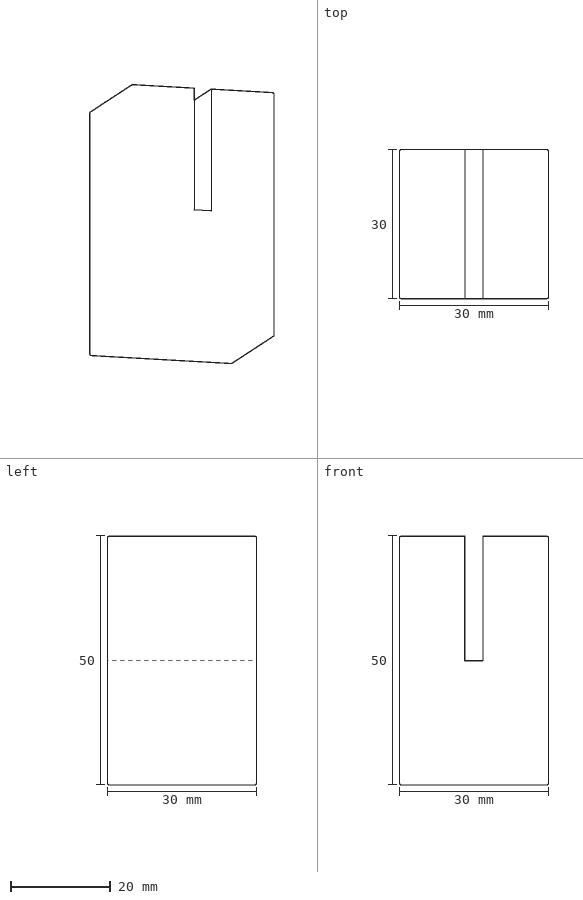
import cadquery as cq

width = 30.0
depth = 30.0
height = 50.0
edge_radius = 0.4

slot_width = 3.6
slot_depth = height / 2


def rounded_block():
    """Block standing on Z = 0, centred in X and Y, with every edge rounded."""
    block = cq.Workplane("XY").box(width, depth, height, centered=(True, True, False))
    return block.edges().fillet(edge_radius)


def slot_cutter():
    """Sharp-edged slot volume reaching down from the top face."""
    return (
        cq.Workplane("XY")
        .workplane(offset=height - slot_depth)
        .rect(slot_width, depth)
        .extrude(slot_depth)
    )


result = rounded_block().cut(slot_cutter())